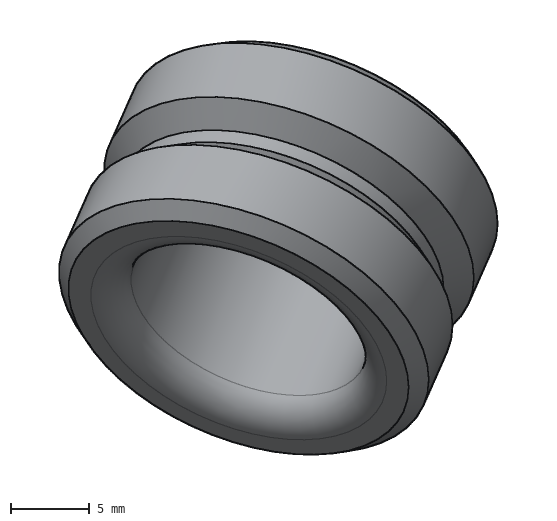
import cadquery as cq

outer_radius = 12.5
bore_radius = 8.0
length = 15.0
rim_chamfer = 1.0
mouth_radius = 2.0

groove_depth = 1.5
groove_floor_width = 1.0
groove_center = 0.0

back = length / 2


def ring():
    """Plain tube along Y, centred on the origin."""
    tube = cq.Workplane("XZ", origin=(0, back, 0)).circle(outer_radius).circle(bore_radius)
    return tube.extrude(length)


def groove():
    """Revolved cutter for the groove around the outside."""
    floor_radius = outer_radius - groove_depth
    half_floor = groove_floor_width / 2
    half_opening = half_floor + groove_depth
    return (
        cq.Workplane("XY")
        .moveTo(outer_radius, groove_center - half_opening)
        .lineTo(floor_radius, groove_center - half_floor)
        .lineTo(floor_radius, groove_center + half_floor)
        .lineTo(outer_radius, groove_center + half_opening)
        .close()
        .revolve(360, (0, 0, 0), (0, 1, 0))
    )


body = ring()
outer_rims = cq.selectors.RadiusNthSelector(-1)
bore_rims = cq.selectors.RadiusNthSelector(0)
body = body.edges(outer_rims).chamfer(rim_chamfer)
body = body.faces("<Y").edges(bore_rims).fillet(mouth_radius)
result = body.cut(groove())